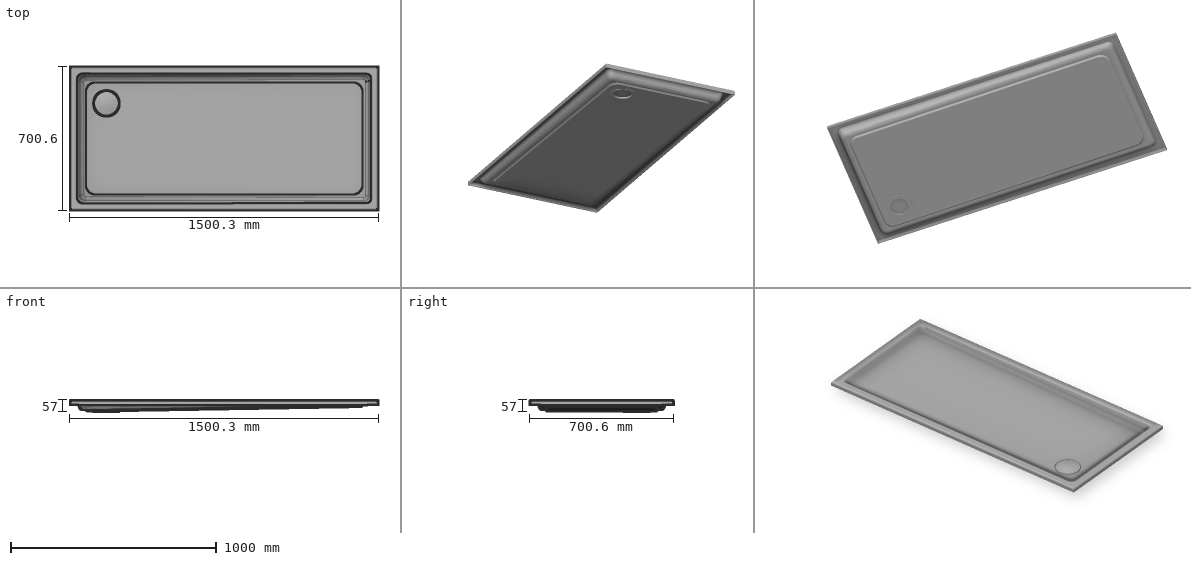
import cadquery as cq
import math

length = 1500.25
width = 700.55
rim_height = 23.0
rim_round = 8.0
skin = 4.0

opening_inset = 37.5
opening_corner = 28.0
floor_inset = 54.0
lip_round = 9.0
foot_round = 20.0

drain_x = -length / 2 + 178.0
drain_y = width / 2 - 180.0
recess_diameter = 128.0
recess_depth = 6.0
outlet_diameter = 90.0
sump_diameter = 124.0
tray_depth = 57.0

floor_depth = 43.5
floor_slope = 1 / 60
base_thickness = 11.0
base_inset = 85.0
base_corner = 40.0
base_draft = 45.0

cover_diameter = 121.0
cover_edge = recess_depth + 1.0
cover_dome = 8.0


def sloped_plane(depth_below_floor):
    """Plane parallel to the basin floor, lying the given depth under it."""
    angle = math.atan(floor_slope)
    height_at_centre = -floor_depth - drain_x * floor_slope - depth_below_floor
    return cq.Plane(
        origin=(0, 0, height_at_centre),
        xDir=(math.cos(angle), 0, math.sin(angle)),
        normal=(-math.sin(angle), 0, math.cos(angle)),
    )


def rectangle(plane, inset):
    """Rectangle of the tray's outline, moved inward."""
    return cq.Workplane(plane).rect(length - 2 * inset, width - 2 * inset)


def basin(offset):
    """Basin as a solid, its walls and floor grown outward by the given offset."""
    top = rectangle(cq.Plane.XY(), opening_inset - offset).wires().val()
    foot = rectangle(sloped_plane(offset), floor_inset - offset).wires().val()
    block = cq.Workplane(cq.Solid.makeLoft([top, foot], True))
    corner_edges = block.edges().filter(lambda edge: edge.Length() < tray_depth)
    block = corner_edges.fillet(opening_corner + offset)
    return block.faces("<Z").edges().fillet(foot_round + offset)


def drain_cylinder(diameter, bottom, top):
    return (
        cq.Workplane("XY", origin=(drain_x, drain_y, bottom))
        .circle(diameter / 2)
        .extrude(top - bottom)
    )


def make_rim():
    """Flat rim with a turned-down edge, hollow underneath."""
    underside = cq.Workplane("XY", origin=(0, 0, -rim_height))
    block = underside.rect(length, width).extrude(rim_height)
    block = block.faces(">Z").edges().fillet(rim_round)
    hollow = underside.rect(length - 2 * skin, width - 2 * skin).extrude(rim_height - skin)
    hollow = hollow.faces(">Z").edges().fillet(rim_round - skin)
    return block.cut(hollow)


def make_base():
    """Stiffening base under the floor, narrowing downward."""
    bottom_length = length - 2 * base_inset
    bottom_width = width - 2 * base_inset
    outline = cq.Sketch().rect(bottom_length, bottom_width).vertices().fillet(base_corner)
    bottom = cq.Workplane(sloped_plane(base_thickness)).placeSketch(outline)
    return bottom.extrude(base_thickness, taper=-base_draft)


def make_tray():
    sump = drain_cylinder(sump_diameter, -tray_depth, -floor_depth)
    tray = make_rim().union(basin(skin)).union(make_base()).union(sump).cut(basin(0))
    opening_edge = tray.faces(">Z").wires(cq.selectors.AreaNthSelector(0))
    tray = opening_edge.fillet(lip_round)
    recess = drain_cylinder(recess_diameter, -floor_depth - recess_depth, 0)
    outlet = drain_cylinder(outlet_diameter, -tray_depth, 0)
    return tray.cut(recess).cut(outlet)


def make_cover():
    """Round disc with a gently domed top, standing on the floor of the recess."""
    radius = cover_diameter / 2
    top = cover_edge + cover_dome
    dome_radius = (radius**2 + cover_dome**2) / (2 * cover_dome)
    half_way = radius / 2
    half_way_height = top - dome_radius + math.sqrt(dome_radius**2 - half_way**2)
    profile = (
        cq.Workplane("XZ")
        .lineTo(radius, 0)
        .lineTo(radius, cover_edge)
        .threePointArc((half_way, half_way_height), (0, top))
        .close()
    )
    cover = profile.revolve(360, (0, 0, 0), (0, 1, 0))
    return cover.translate((drain_x, drain_y, -floor_depth - recess_depth))


tray = make_tray()
cover = make_cover()
result = cq.Compound.makeCompound([tray.solids().val(), cover.val()])